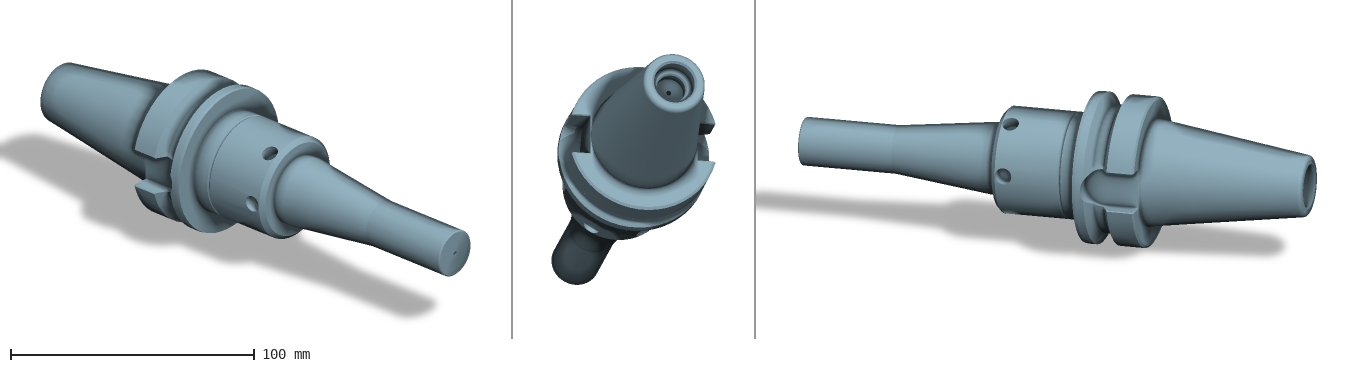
import cadquery as cq

overall_length = 215.5
gauge_x = 65.5
flange_face_x = 66.5
groove_start_x = 78.0
groove_floor_start_x = 80.8
groove_floor_end_x = 84.9
groove_end_x = 87.7
flange_end_x = 92.5
nut_seat_x = 100.5
nut_end_x = 129.9
nose_collar_end_x = 134.5
nose_taper_end_x = 175.5

taper_ratio = 7 / 24
gauge_diameter = 44.4
shank_diameter = gauge_diameter - gauge_x * taper_ratio
shank_end_fillet = 2.0

flange_diameter = 63.0
groove_diameter = 53.0
rear_rim_diameter = 62.5
flange_face_chamfer = 0.6
rear_rim_chamfer_drop = 1.0
front_rim_chamfer = 1.3
front_rim_chamfer_drop = 0.2
flange_root_fillet = 0.5
slot_width = 16.2
slot_floor_offset = 22.5
slot_arc_center_x = 80.8
slot_edge_chamfer = 0.5

bore_diameter = 17.0
bore_depth = 7.8
bore_chamfer = 0.9
shoulder_diameter = 16.2
socket_diameter = 12.0
socket_chamfer = 0.6
plug_start_x = 13.0
plug_length = 8.6
coolant_diameter = 2.0

joint_chamfer = 0.6
nut_end_chamfer = 2.0
spanner_hole_count = 6
first_hole_angle = 90
spanner_hole_diameter = 7.0
spanner_hole_x = 124.3
spanner_hole_floor_radius = 16.8

nose_collar_diameter = 30.0
nose_tip_diameter = 20.0
nose_tip_chamfer = 0.5


def x_cylinder(diameter, start_x, end_x):
    """Cylinder centred on the X axis between two stations."""
    return cq.Workplane("YZ", origin=(start_x, 0, 0)).circle(diameter / 2).extrude(end_x - start_x)


def revolve_about_x(points):
    """Solid of revolution about X from (x, radius) points."""
    return cq.Workplane("XY").polyline(points).close().revolve(360, (0, 0, 0), (1, 0, 0))


def coolant_passage():
    """Cutter for the thin passage along the whole axis."""
    return x_cylinder(coolant_diameter, 0, overall_length)


def make_drive_slot(side):
    """Round-ended slot cutter on the side of the flange given by the sign of Y."""
    half = slot_width / 2
    depth = flange_diameter / 2 - slot_floor_offset
    return (
        cq.Workplane("XZ", origin=(0, side * slot_floor_offset, 0))
        .moveTo(gauge_x, -half)
        .lineTo(slot_arc_center_x, -half)
        .threePointArc((slot_arc_center_x + half, 0), (slot_arc_center_x, half))
        .lineTo(gauge_x, half)
        .close()
        .extrude(-side * depth)
    )


def chamfer_slot_edges(holder):
    """Break the four slot mouths where their walls meet the rear face and rim of the flange."""
    margin = 0.2
    for side_y in (-1, 1):
        for side_z in (-1, 1):
            wall_z = side_z * slot_width / 2
            inner_corner = (flange_face_x - margin, side_y * (slot_floor_offset + margin), wall_z - margin)
            outer_corner = (groove_start_x - margin, side_y * flange_diameter / 2, wall_z + margin)
            mouth_edges = cq.selectors.BoxSelector(inner_corner, outer_corner)
            holder = holder.edges(mouth_edges).chamfer(slot_edge_chamfer)
    return holder


def make_rear_bore():
    """Stepped bore cutter: chamfered mouth, conical shoulder and the socket that holds the plug."""
    bore_r = bore_diameter / 2
    shoulder_r = shoulder_diameter / 2
    socket_r = socket_diameter / 2
    plug_end_x = plug_start_x + plug_length
    return revolve_about_x([
        (0, 0),
        (0, bore_r + bore_chamfer),
        (bore_chamfer, bore_r),
        (bore_depth - (bore_r - shoulder_r), bore_r),
        (bore_depth, shoulder_r),
        (bore_depth, socket_r + socket_chamfer),
        (bore_depth + socket_chamfer, socket_r),
        (plug_end_x, socket_r),
        (plug_end_x, 0),
    ])


def make_holder():
    """Tapered shank and slotted flange, ending in the face that carries the nut and nose."""
    gauge_r = gauge_diameter / 2
    flange_r = flange_diameter / 2
    rear_rim_r = rear_rim_diameter / 2
    groove_r = groove_diameter / 2
    holder = (
        cq.Workplane("XY")
        .lineTo(0, shank_diameter / 2)
        .lineTo(gauge_x, gauge_r)
        .lineTo(flange_face_x - flange_root_fillet, gauge_r)
        .radiusArc((flange_face_x, gauge_r + flange_root_fillet), -flange_root_fillet)
        .lineTo(flange_face_x, rear_rim_r - rear_rim_chamfer_drop)
        .lineTo(flange_face_x + flange_face_chamfer, rear_rim_r)
        .lineTo(groove_start_x, rear_rim_r)
        .lineTo(groove_floor_start_x, groove_r)
        .lineTo(groove_floor_end_x, groove_r)
        .lineTo(groove_end_x, flange_r)
        .lineTo(flange_end_x - front_rim_chamfer, flange_r)
        .lineTo(flange_end_x, flange_r - front_rim_chamfer_drop)
        .lineTo(flange_end_x, gauge_r + flange_root_fillet)
        .radiusArc((flange_end_x + flange_root_fillet, gauge_r), -flange_root_fillet)
        .lineTo(nut_seat_x - joint_chamfer, gauge_r)
        .lineTo(nut_seat_x, gauge_r - joint_chamfer)
        .lineTo(nut_seat_x, 0)
        .close()
        .revolve(360, (0, 0, 0), (1, 0, 0))
    )
    holder = holder.faces("<X").edges().fillet(shank_end_fillet)

    holder = holder.cut(make_rear_bore()).cut(coolant_passage())
    for side in (-1, 1):
        holder = holder.cut(make_drive_slot(side))
    return chamfer_slot_edges(holder)


def make_plug():
    """Drilled plug that fills the inner end of the holder socket."""
    plug = x_cylinder(socket_diameter, plug_start_x, plug_start_x + plug_length)
    return plug.cut(coolant_passage())


def make_nut():
    """Clamping ring around the nose with blind, flat-bottomed spanner holes."""
    nut = x_cylinder(gauge_diameter, nut_seat_x, nut_end_x)
    nut = nut.faces("<X").chamfer(joint_chamfer)
    nut = nut.faces(">X").chamfer(nut_end_chamfer)
    nut = nut.cut(x_cylinder(nose_collar_diameter, nut_seat_x, nut_end_x))

    spanner_hole = (
        cq.Workplane("XY", origin=(spanner_hole_x, 0, spanner_hole_floor_radius))
        .circle(spanner_hole_diameter / 2)
        .extrude(gauge_diameter / 2)
    )
    for index in range(spanner_hole_count):
        angle = first_hole_angle + index * 360 / spanner_hole_count
        nut = nut.cut(spanner_hole.rotate((0, 0, 0), (1, 0, 0), angle))
    return nut


def make_nose():
    """Slim tapered nose that passes through the nut and rests on the holder."""
    collar_r = nose_collar_diameter / 2
    tip_r = nose_tip_diameter / 2
    nose = revolve_about_x([
        (nut_seat_x, 0),
        (nut_seat_x, collar_r),
        (nose_collar_end_x, collar_r),
        (nose_taper_end_x, tip_r),
        (overall_length - nose_tip_chamfer, tip_r),
        (overall_length, tip_r - nose_tip_chamfer),
        (overall_length, 0),
    ])
    return nose.cut(coolant_passage())


holder = make_holder()
plug = make_plug()
nut = make_nut()
nose = make_nose()
result = cq.Compound.makeCompound([holder.val(), plug.val(), nut.val(), nose.val()])